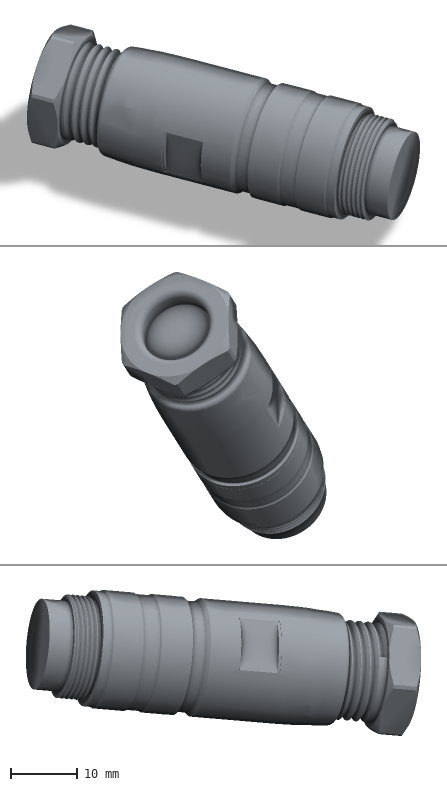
import cadquery as cq
import math


nut_across_flats = 17.0
nut_bar_radius = 19.3 / 2
head_length = 5.0
head_bevel = 0.7
cable_hole_radius = 5.35
cable_hole_depth = 3.2
cable_hole_rounding = 1.0

shank_radius = 15.2 / 2
shank_pitch = 25.4 / 18
shank_thread_depth = 0.67
shank_thread_x = 5.62

housing_x = 11.15
body_radius = 18.0 / 2
nose_radius = 8.5
nose_rounding = 0.6
nose_end_x = 20.2

flat_width = 16.0
flat_start_x = 22.4
flat_end_x = 28.3
relief_start_x = 22.0
relief_end_x = 28.45
relief_depth = 0.12

neck_radius = 16.9 / 2
neck_shoulder_x = 33.1
neck_x = 33.8
ring_x = 35.9
ring_lip_radius = 17.96 / 2
ring_lip_end_x = 36.95
band_radius = 17.6 / 2
band_x = 40.75
band_end_x = 43.4
collar_end_x = 48.3
band_bevel = 0.25
housing_shoulder_x = 49.9

mating_radius = 15.8 / 2
mating_core_radius = 15.0 / 2
mating_pitch = 0.75
mating_thread_depth = 0.38
mating_thread_x = 50.2
mating_thread_end_x = 54.1
plug_radius = 13.8 / 2
plug_end_x = 57.8

groove_root_share = 0.12
groove_crest_share = 0.9
groove_overshoot = 0.02


def cylinder(start_x, end_x, radius):
    """Solid cylinder on the X axis."""
    return cq.Workplane("YZ", origin=(start_x, 0, 0)).circle(radius).extrude(end_x - start_x)


def thread_groove(start_x, end_x, crest_radius, depth, pitch):
    """Right-hand groove with sloping flanks winding along X, starting on the +Y side."""
    root_radius = crest_radius - depth
    root_half_width = groove_root_share * pitch / 2
    crest_half_width = groove_crest_share * pitch / 2
    flank_slope = (crest_half_width - root_half_width) / depth
    outer_half_width = crest_half_width + groove_overshoot * flank_slope
    outer_radius = crest_radius + groove_overshoot
    helix = cq.Wire.makeHelix(pitch, end_x - start_x, root_radius)
    groove = (
        cq.Workplane("XZ")
        .polyline([
            (root_radius, -root_half_width),
            (root_radius, root_half_width),
            (outer_radius, outer_half_width),
            (outer_radius, -outer_half_width),
        ])
        .close()
        .sweep(cq.Workplane(obj=helix), isFrenet=True)
    )
    return (
        groove.rotate((0, 0, 0), (0, 1, 0), 90)
        .rotate((0, 0, 0), (1, 0, 0), 90)
        .translate((start_x, 0, 0))
    )


def make_nut_head():
    """Hexagon with its corners on +Z and -Z, bevelled at both ends."""
    corner_diameter = nut_across_flats / math.cos(math.pi / 6)
    hexagon = (
        cq.Workplane("YZ")
        .polygon(6, corner_diameter)
        .extrude(head_length)
        .rotate((0, 0, 0), (1, 0, 0), 90)
    )
    face_radius = nut_across_flats / 2
    bar = (
        cq.Workplane("XY")
        .polyline([
            (0, 0),
            (0, face_radius),
            (head_bevel, nut_bar_radius),
            (head_length - head_bevel, nut_bar_radius),
            (head_length, face_radius),
            (head_length, 0),
        ])
        .close()
        .revolve(360, (0, 0, 0), (1, 0, 0))
    )
    return hexagon.intersect(bar)


def make_cable_hole():
    """Blind hole with a bell-mouthed rim."""
    mouth_radius = cable_hole_radius + cable_hole_rounding
    bend = cable_hole_rounding * math.sqrt(0.5)
    return (
        cq.Workplane("XY")
        .moveTo(0, 0)
        .lineTo(0, mouth_radius)
        .threePointArc(
            (cable_hole_rounding - bend, mouth_radius - bend),
            (cable_hole_rounding, cable_hole_radius),
        )
        .lineTo(cable_hole_depth, cable_hole_radius)
        .lineTo(cable_hole_depth, 0)
        .close()
        .revolve(360, (0, 0, 0), (1, 0, 0))
    )


def make_shank():
    """Plain collar running into a thread, cut on an overlong rod and trimmed at the seat."""
    rod_end_x = housing_x + 2 * shank_pitch
    groove = thread_groove(
        shank_thread_x, housing_x + shank_pitch, shank_radius, shank_thread_depth, shank_pitch
    )
    rod = cylinder(head_length, rod_end_x, shank_radius).cut(groove)
    return rod.intersect(cylinder(head_length, housing_x, body_radius))


def make_clamp_nut():
    return make_nut_head().union(make_shank()).cut(make_cable_hole())


def make_housing_blank():
    """Turned outline of the housing, without the spanner flats and the thread."""
    nose_length = nose_end_x - housing_x
    nose_drop = body_radius - nose_radius
    nose_arc_radius = (nose_length**2 + nose_drop**2) / (2 * nose_drop)
    nose_middle_x = nose_end_x - nose_length / 2
    nose_middle_radius = (
        body_radius - nose_arc_radius + math.sqrt(nose_arc_radius**2 - (nose_length / 2) ** 2)
    )
    profile = (
        cq.Workplane("XY")
        .moveTo(housing_x, 0)
        .lineTo(housing_x, nose_radius)
        .threePointArc((nose_middle_x, nose_middle_radius), (nose_end_x, body_radius))
        .lineTo(neck_shoulder_x, body_radius)
        .lineTo(neck_x, neck_radius)
        .lineTo(ring_x, neck_radius)
        .lineTo(ring_x, ring_lip_radius)
        .lineTo(ring_lip_end_x, ring_lip_radius)
        .lineTo(ring_lip_end_x, body_radius)
        .lineTo(band_x, body_radius)
        .lineTo(band_x + band_bevel, band_radius)
        .lineTo(band_end_x, band_radius)
        .lineTo(band_end_x + band_bevel, body_radius)
        .lineTo(collar_end_x, body_radius)
        .lineTo(collar_end_x + band_bevel, band_radius)
        .lineTo(housing_shoulder_x, band_radius)
        .lineTo(housing_shoulder_x, mating_core_radius)
        .lineTo(mating_thread_end_x, mating_core_radius)
        .lineTo(mating_thread_end_x, plug_radius)
        .lineTo(plug_end_x, plug_radius)
        .lineTo(plug_end_x, 0)
        .close()
    )
    blank = profile.revolve(360, (0, 0, 0), (1, 0, 0))
    return blank.faces("<X").edges().fillet(nose_rounding)


def make_spanner_relief(start_x, end_x):
    """Shallow turned strip beside the end walls of both flats, as high as the flats."""
    flat_height = 2 * math.sqrt(body_radius**2 - (flat_width / 2) ** 2)
    slab = cq.Workplane("XY", origin=((start_x + end_x) / 2, 0, 0)).box(
        end_x - start_x, 2 * body_radius, flat_height
    )
    return slab.cut(cylinder(start_x, end_x, body_radius - relief_depth))


def make_spanner_flat(side):
    """Cutter for one flat; side is -1 or +1 along Y."""
    cut_depth = body_radius - flat_width / 2
    middle_x = (flat_start_x + flat_end_x) / 2
    middle_y = side * (body_radius - cut_depth / 2)
    return cq.Workplane("XY", origin=(middle_x, middle_y, 0)).box(
        flat_end_x - flat_start_x, cut_depth, 2 * body_radius
    )


def make_mating_thread():
    """Thread cut on an overlong rod, then trimmed so the groove runs out at both ends."""
    rod_start_x = mating_thread_x - 2 * mating_pitch
    rod_end_x = mating_thread_end_x + 2 * mating_pitch
    groove = thread_groove(
        mating_thread_x - mating_pitch, mating_thread_end_x + mating_pitch,
        mating_radius, mating_thread_depth, mating_pitch,
    )
    rod = cylinder(rod_start_x, rod_end_x, mating_radius).cut(groove)
    return rod.intersect(cylinder(mating_thread_x, mating_thread_end_x, body_radius))


def make_housing():
    housing = make_housing_blank()
    for start_x, end_x in ((relief_start_x, flat_start_x), (flat_end_x, relief_end_x)):
        housing = housing.cut(make_spanner_relief(start_x, end_x))
    for side in (-1, 1):
        housing = housing.cut(make_spanner_flat(side))
    return housing.union(make_mating_thread())


clamp_nut = make_clamp_nut()
housing = make_housing()

result = cq.Compound.makeCompound([clamp_nut.val(), housing.val()])